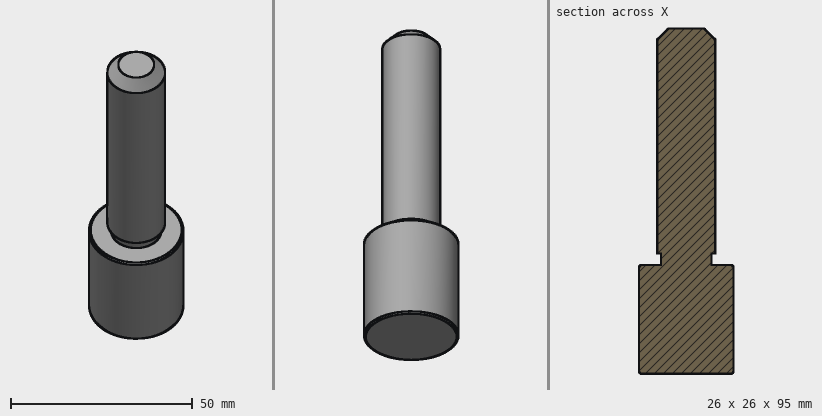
import cadquery as cq

total_height = 95.0

head_diameter = 26.0
head_height = 30.0
head_chamfer = 0.5

neck_diameter = 14.0
neck_height = 3.0

shank_diameter = 16.0
tip_chamfer = 3.0
shank_bottom = head_height + neck_height
shank_height = total_height - shank_bottom


def cylinder(diameter, height, base_z):
    """Vertical cylinder on the Z axis, standing on base_z."""
    return cq.Workplane("XY").workplane(offset=base_z).circle(diameter / 2).extrude(height)


head = cylinder(head_diameter, head_height, 0).edges("%CIRCLE").chamfer(head_chamfer)
neck = cylinder(neck_diameter, neck_height, head_height)
shank = cylinder(shank_diameter, shank_height, shank_bottom).faces(">Z").chamfer(tip_chamfer)

result = head.union(neck).union(shank)